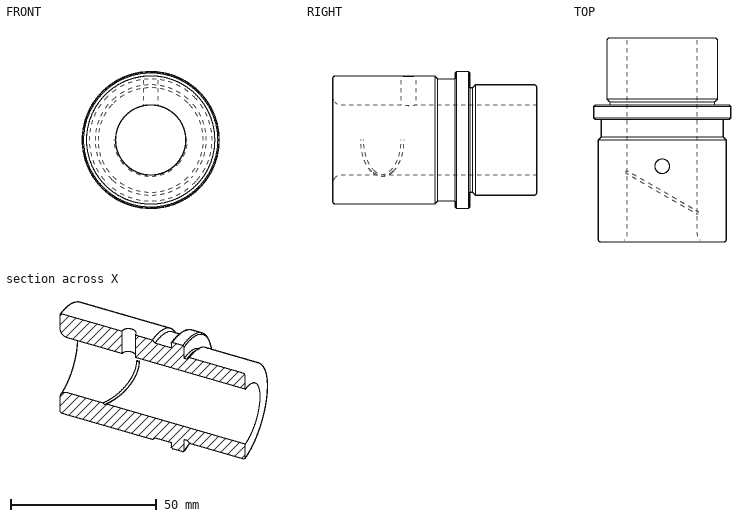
import cadquery as cq
import math

length = 70.0
spigot_length = 22.0
neck_length = 1.0
flange_width = 5.0
recess_length = 6.0

spigot_front_y = length - spigot_length
flange_rear_y = spigot_front_y - neck_length
flange_front_y = flange_rear_y - flange_width
body_rear_y = flange_front_y - recess_length

spigot_radius = 19.0
neck_radius = 18.0
flange_radius = 23.5
recess_radius = 21.0
body_radius = 22.0
bore_radius = 12.0

edge_size = 1.0
flange_chamfer = 0.5
bore_mouth_radius = 3.0

pin_hole_diameter = 5.0
pin_hole_y = 26.0

groove_center_y = 17.0
groove_tilt = 30.0
groove_section_radius = 0.5


def cylinder(radius, start_y, end_y):
    """Cylinder about the Y axis between two stations."""
    return cq.Workplane("XZ", origin=(0, end_y, 0)).circle(radius).extrude(end_y - start_y)


def make_spigot():
    spigot = cylinder(spigot_radius, spigot_front_y, length)
    return spigot.faces(">Y").edges().fillet(edge_size).faces("<Y").edges().chamfer(edge_size)


def make_neck():
    return cylinder(neck_radius, flange_rear_y, spigot_front_y)


def make_flange():
    flange = cylinder(flange_radius, flange_front_y, flange_rear_y)
    return flange.faces("<Y or >Y").edges().chamfer(flange_chamfer)


def make_recess():
    return cylinder(recess_radius, body_rear_y, flange_front_y)


def make_body():
    body = cylinder(body_radius, 0, body_rear_y)
    return body.faces("<Y").edges().fillet(edge_size).faces(">Y").edges().chamfer(edge_size)


def cut_bore(part):
    part = part.cut(cylinder(bore_radius, 0, length))
    mouth_edge = part.faces("<Y").edges(cq.selectors.RadiusNthSelector(0))
    return mouth_edge.fillet(bore_mouth_radius)


def cut_pin_hole(part):
    """Radial hole from the top of the body into the bore."""
    hole = (
        cq.Workplane("XY", origin=(0, pin_hole_y, 0))
        .circle(pin_hole_diameter / 2)
        .extrude(body_radius)
    )
    return part.cut(hole)


def cut_oil_groove(part):
    """Round groove along the half ellipse where the tilted plane meets the lower bore wall."""
    half_width = bore_radius / math.cos(math.radians(groove_tilt))
    axial_reach = bore_radius * math.tan(math.radians(groove_tilt))
    tilted_plane = cq.Plane(
        origin=(0, groove_center_y, 0),
        xDir=(bore_radius, -axial_reach, 0),
        normal=(-axial_reach, -bore_radius, 0),
    )
    path = cq.Workplane(tilted_plane).ellipseArc(
        half_width, bore_radius, angle1=180, angle2=360, startAtCurrent=False
    )
    start = (-bore_radius, groove_center_y + axial_reach, 0)
    groove = cq.Workplane("XY", origin=start).circle(groove_section_radius).sweep(path)
    return part.cut(groove)


sleeve = make_spigot().union(make_neck()).union(make_flange()).union(make_recess()).union(make_body())
result = cut_oil_groove(cut_pin_hole(cut_bore(sleeve)))